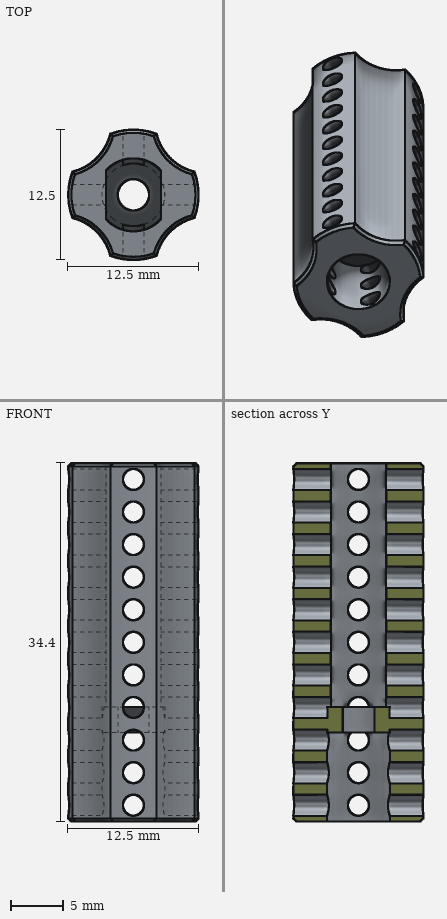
import cadquery as cq
import math

LENGTH = 34.38
BODY_DIAMETER = 12.5
LOBE_WIDTH = 4.45
FLUTE_FLOOR_RADIUS = 5.0
EDGE_CHAMFER = 0.3

POCKET_DIAMETER = 7.0
POCKET_WIDTH = 5.3

LOWER_BORE_DIAMETER = 6.0
WEB_TOP = 11.0
WEB_BOTTOM = 8.53
WEB_HOLE_DIAMETER = 3.0

CROSS_HOLE_DIAMETER = 2.0
CROSS_HOLE_COUNT = 11
CROSS_HOLE_PITCH = LENGTH / CROSS_HOLE_COUNT

BODY_RADIUS = BODY_DIAMETER / 2


def turn_quarters(point, quarters):
    """Turn a point of the XY plane about the origin in steps of 90 degrees."""
    x, y = point
    for _ in range(quarters):
        x, y = -y, x
    return x, y


def make_cylinder(diameter, bottom, top):
    return cq.Workplane("XY", origin=(0, 0, bottom)).circle(diameter / 2).extrude(top - bottom)


def make_fluted_body():
    half_lobe = LOBE_WIDTH / 2
    lobe_end = math.sqrt(BODY_RADIUS**2 - half_lobe**2)
    flute_floor = FLUTE_FLOOR_RADIUS / math.sqrt(2)

    outline = cq.Workplane("XY").moveTo(lobe_end, -half_lobe)
    for quarter in range(4):
        lobe_tip = turn_quarters((BODY_RADIUS, 0), quarter)
        flute_start = turn_quarters((lobe_end, half_lobe), quarter)
        flute_middle = turn_quarters((flute_floor, flute_floor), quarter)
        flute_end = turn_quarters((half_lobe, lobe_end), quarter)
        outline = outline.threePointArc(lobe_tip, flute_start)
        outline = outline.threePointArc(flute_middle, flute_end)
    body = outline.close().extrude(LENGTH)
    return body.faces("<Z or >Z").chamfer(EDGE_CHAMFER)


def make_upper_pocket():
    pocket_height = LENGTH - WEB_TOP
    round_bore = make_cylinder(POCKET_DIAMETER, WEB_TOP, LENGTH)
    flat_limits = cq.Workplane("XY", origin=(0, 0, WEB_TOP)).rect(POCKET_WIDTH, POCKET_DIAMETER)
    return round_bore.intersect(flat_limits.extrude(pocket_height))


def make_cross_holes():
    centres = [(0, (i + 0.5) * CROSS_HOLE_PITCH) for i in range(CROSS_HOLE_COUNT)]
    circles = cq.Workplane("XZ").pushPoints(centres).circle(CROSS_HOLE_DIAMETER / 2)
    along_y = circles.extrude(BODY_RADIUS, both=True)
    along_x = along_y.rotate((0, 0, 0), (0, 0, 1), 90)
    return along_y.union(along_x)


web = make_cylinder(LOWER_BORE_DIAMETER, WEB_BOTTOM, WEB_TOP)

result = (
    make_fluted_body()
    .cut(make_upper_pocket())
    .cut(make_cylinder(LOWER_BORE_DIAMETER, 0, WEB_BOTTOM))
    .cut(make_cross_holes())
    .union(web)
    .cut(make_cylinder(WEB_HOLE_DIAMETER, WEB_BOTTOM, WEB_TOP))
)